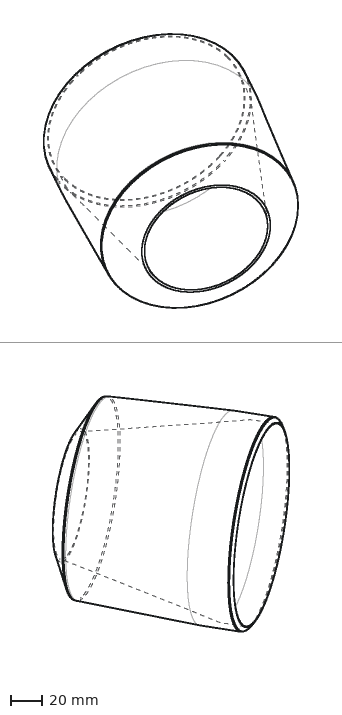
import cadquery as cq

total_length = 127.0
cylinder_length = 30.0
bore_cylinder_length = 17.3
bevel_length = 1.8
bevel_blend_length = 0.8
shoulder_start = 111.9
shoulder_band_length = 1.1

outer_diameter = 139.7
large_bore_diameter = 131.7
bevel_face_diameter = 133.0
bevel_top_diameter = 138.9
shoulder_diameter = 133.0
shoulder_end_diameter = 132.2
small_face_diameter = 86.6
small_bore_diameter = 83.0

outside = [
    (0, bevel_face_diameter / 2),
    (bevel_length, bevel_top_diameter / 2),
    (bevel_length + bevel_blend_length, outer_diameter / 2),
    (cylinder_length, outer_diameter / 2),
    (shoulder_start, shoulder_diameter / 2),
    (shoulder_start + shoulder_band_length, shoulder_diameter / 2),
    (shoulder_start + 2 * shoulder_band_length, shoulder_end_diameter / 2),
    (total_length, small_face_diameter / 2),
]

bore = [
    (total_length, small_bore_diameter / 2),
    (bore_cylinder_length, large_bore_diameter / 2),
    (0, large_bore_diameter / 2),
]

result = cq.Workplane("XY").polyline(outside + bore).close().revolve(360, (0, 0, 0), (1, 0, 0))